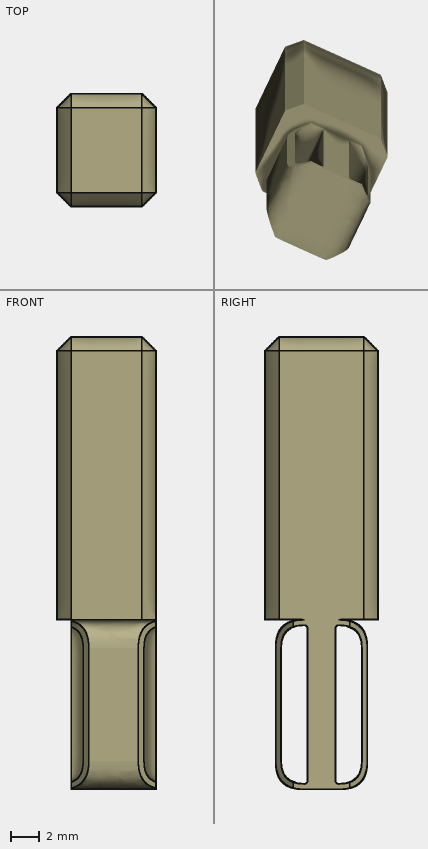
import cadquery as cq

body_width = 7.0
body_depth = 8.0
body_height = 20.0
body_chamfer = 1.0

plug_width = 6.0
plug_depth = 6.5
plug_length = 12.0
plug_chamfer = 1.25

plate_thickness = 2.0
bow_thickness = 0.4
window_corner_radius = 0.2

bow_corner_size = 2.0
corner_fullness = 0.68

plug_center_x = (body_width - plug_width) / 2
plug_center_z = -plug_length / 2


def make_body():
    """Rectangular block with the upright edges and the top rim chamfered together."""
    block = cq.Workplane("XY").rect(body_width, body_depth).extrude(body_height)
    return block.edges("|Z or >Z").chamfer(body_chamfer)


def make_rounded_bar(depth, length, corner_size):
    """Bar along X, at the plug position, whose YZ outline has four Bezier corners."""

    def toward(point, direction, distance):
        return (point[0] + direction[0] * distance, point[1] + direction[1] * distance)

    y = depth / 2
    z = length / 2
    corners = [(y, -z), (y, z), (-y, z), (-y, -z)]
    directions = [(1, 0), (0, 1), (-1, 0), (0, -1)]
    handle_gap = corner_size * (1 - corner_fullness)

    outline = cq.Workplane("YZ").moveTo(-y + corner_size, -z)
    for i, corner in enumerate(corners):
        incoming = directions[i]
        outgoing = directions[(i + 1) % len(directions)]
        curve = [
            toward(corner, incoming, -corner_size),
            toward(corner, incoming, -handle_gap),
            toward(corner, outgoing, handle_gap),
            toward(corner, outgoing, corner_size),
        ]
        outline = outline.lineTo(*curve[0]).bezier(curve)
    bar = outline.close().extrude(plug_width)
    return bar.translate((plug_center_x - plug_width / 2, 0, plug_center_z))


def make_plug_blank():
    """Column with chamfered upright edges, trimmed to the outer bow outline."""
    column = (
        cq.Workplane("XY")
        .center(plug_center_x, 0)
        .rect(plug_width, plug_depth)
        .extrude(-plug_length)
        .edges("|Z")
        .chamfer(plug_chamfer)
    )
    return column.intersect(make_rounded_bar(plug_depth, plug_length, bow_corner_size))


def make_window(side):
    """Opening through X between the plate and the bow on the given Y side (+1 or -1)."""
    side_block = (
        cq.Workplane("XY")
        .box(plug_width, plug_depth, plug_length)
        .translate((plug_center_x, side * (plate_thickness + plug_depth) / 2, plug_center_z))
    )
    opening = make_rounded_bar(
        plug_depth - 2 * bow_thickness,
        plug_length - 2 * bow_thickness,
        bow_corner_size - bow_thickness,
    ).intersect(side_block)
    plate_edges = "<Y" if side > 0 else ">Y"
    return opening.faces(plate_edges).edges("|X").fillet(window_corner_radius)


plug = make_plug_blank()
for side in (-1, 1):
    plug = plug.cut(make_window(side))

result = make_body().union(plug)